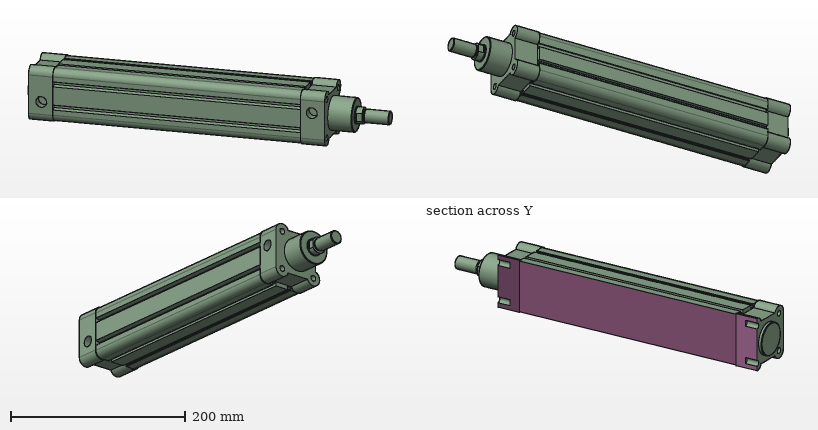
import cadquery as cq
import math


rear_face = 4.5
cap_length = 29.0
barrel_start = rear_face + cap_length
barrel_end = 330.5
front_face = barrel_end + cap_length
collar_end = 388.2
wiper_end = 389.5
shoulder_end = 397.3
neck_end = 398.5
thread_start = 400.0
rod_tip = 429.0

cap_half = 32.5
bolt_offset = 23.0
lobe_radius = cap_half - bolt_offset
cap_recess = 26.5
bolt_hole_radius = 3.5
bolt_hole_depth = 16.0
port_radius = 6.5
port_depth = 11.0
port_inset = 13.7
port_height = 8.0
collar_radius = 20.0
collar_chamfer = 1.0
wiper_radius = 10.5

barrel_half = 31.7
barrel_corner_radius = 8.5
sensor_slot_inner = 8.5
sensor_slot_outer = 13.5
sensor_slot_lip = 1.5
sensor_slot_depth = 4.0
port_side_slot_inner = 11.05
port_side_slot_outer = 16.85
port_side_slot_depth = 5.0
port_side_slot_taper = 1.5

rod_radius = 10.0
flat_half = 8.5
flat_start = 391.0
neck_radius = 7.08
thread_radius = 8.0
tip_chamfer = 1.0


def section_plane(x):
    """Plane across the axis at x, with local x along Y and local y along Z."""
    return cq.Workplane("YZ", origin=(x, 0, 0))


def cap_block(start):
    """Cap with four corner lobes, recessed between them on every side except the flat port side."""
    lobe_end = bolt_offset - math.sqrt(lobe_radius**2 - (cap_recess - bolt_offset) ** 2)
    diagonal = bolt_offset + lobe_radius * math.sqrt(0.5)
    return (
        section_plane(start)
        .moveTo(-cap_half, -bolt_offset)
        .lineTo(-cap_half, bolt_offset)
        .threePointArc((-diagonal, diagonal), (-lobe_end, cap_recess))
        .lineTo(lobe_end, cap_recess)
        .threePointArc((diagonal, diagonal), (cap_recess, lobe_end))
        .lineTo(cap_recess, -lobe_end)
        .threePointArc((diagonal, -diagonal), (lobe_end, -cap_recess))
        .lineTo(-lobe_end, -cap_recess)
        .threePointArc((-diagonal, -diagonal), (-cap_half, -bolt_offset))
        .close()
        .extrude(cap_length)
    )


def bolt_holes(face, direction):
    """Four blind holes from an outer cap face; direction is +1 or -1 along X."""
    return (
        section_plane(face)
        .rect(2 * bolt_offset, 2 * bolt_offset, forConstruction=True)
        .vertices()
        .circle(bolt_hole_radius)
        .extrude(direction * bolt_hole_depth)
    )


def port(x, z):
    """Blind air port entering from the -Y side."""
    return (
        cq.Workplane("XZ", origin=(x, -cap_half, z))
        .circle(port_radius)
        .extrude(-port_depth)
    )


def make_rear_cap():
    collar = (
        section_plane(0)
        .circle(collar_radius)
        .extrude(rear_face)
        .faces("<X")
        .chamfer(collar_chamfer)
    )
    return (
        cap_block(rear_face)
        .union(collar)
        .cut(bolt_holes(rear_face, 1))
        .cut(port(barrel_start - port_inset, -port_height))
    )


def make_front_cap():
    collar = (
        section_plane(front_face)
        .circle(collar_radius)
        .extrude(collar_end - front_face)
        .faces(">X")
        .chamfer(collar_chamfer)
    )
    wiper = section_plane(collar_end).circle(wiper_radius).extrude(wiper_end - collar_end)
    rod_bore = section_plane(barrel_end).circle(rod_radius).extrude(wiper_end - barrel_end)
    return (
        cap_block(barrel_end)
        .union(collar)
        .union(wiper)
        .cut(rod_bore)
        .cut(bolt_holes(front_face, -1))
        .cut(port(barrel_end + port_inset, port_height))
    )


def slot_pair(outline, side_angle):
    """Two mirrored full-length slots, drawn on the +Z side and turned about X to another side."""
    slot = section_plane(barrel_start).polyline(outline).close().extrude(barrel_end - barrel_start)
    pair = slot.union(slot.mirror("XZ"))
    return pair.rotate((0, 0, 0), (1, 0, 0), side_angle)


def make_barrel():
    barrel = (
        section_plane(barrel_start)
        .rect(2 * barrel_half, 2 * barrel_half)
        .extrude(barrel_end - barrel_start)
        .edges("|X")
        .fillet(barrel_corner_radius)
    )
    sensor_floor = barrel_half - sensor_slot_depth
    undercut = sensor_slot_depth - sensor_slot_lip
    sensor_slot = [
        (sensor_slot_inner, barrel_half),
        (sensor_slot_outer, barrel_half),
        (sensor_slot_outer, barrel_half - sensor_slot_lip),
        (sensor_slot_outer + undercut, sensor_floor),
        (sensor_slot_inner, sensor_floor),
    ]
    for side_angle in (0, 180, -90):
        barrel = barrel.cut(slot_pair(sensor_slot, side_angle))

    port_side_floor = barrel_half - port_side_slot_depth
    port_side_slot = [
        (port_side_slot_inner, barrel_half),
        (port_side_slot_outer, barrel_half),
        (port_side_slot_outer - port_side_slot_taper, port_side_floor),
        (port_side_slot_inner + port_side_slot_taper, port_side_floor),
    ]
    return barrel.cut(slot_pair(port_side_slot, 90))


def make_rod():
    """Rod from the barrel to its threaded tip, with two wrench flats at the shoulder."""
    rod = (
        cq.Workplane("XY")
        .moveTo(barrel_end, 0)
        .lineTo(barrel_end, rod_radius)
        .lineTo(shoulder_end, rod_radius)
        .lineTo(shoulder_end, neck_radius)
        .lineTo(neck_end, neck_radius)
        .lineTo(thread_start, thread_radius)
        .lineTo(rod_tip - tip_chamfer, thread_radius)
        .lineTo(rod_tip, thread_radius - tip_chamfer)
        .lineTo(rod_tip, 0)
        .close()
        .revolve(360, (0, 0, 0), (1, 0, 0))
    )
    flat_length = shoulder_end - flat_start
    flat_depth = rod_radius - flat_half
    for side in (1, -1):
        flat_cut = cq.Workplane("XY").box(flat_length, flat_depth, 2 * rod_radius).translate(
            (flat_start + flat_length / 2, side * (flat_half + flat_depth / 2), 0)
        )
        rod = rod.cut(flat_cut)
    return rod


rear_cap = make_rear_cap()
barrel = make_barrel()
front_cap = make_front_cap()
rod = make_rod()

result = cq.Compound.makeCompound([rear_cap.val(), barrel.val(), front_cap.val(), rod.val()])